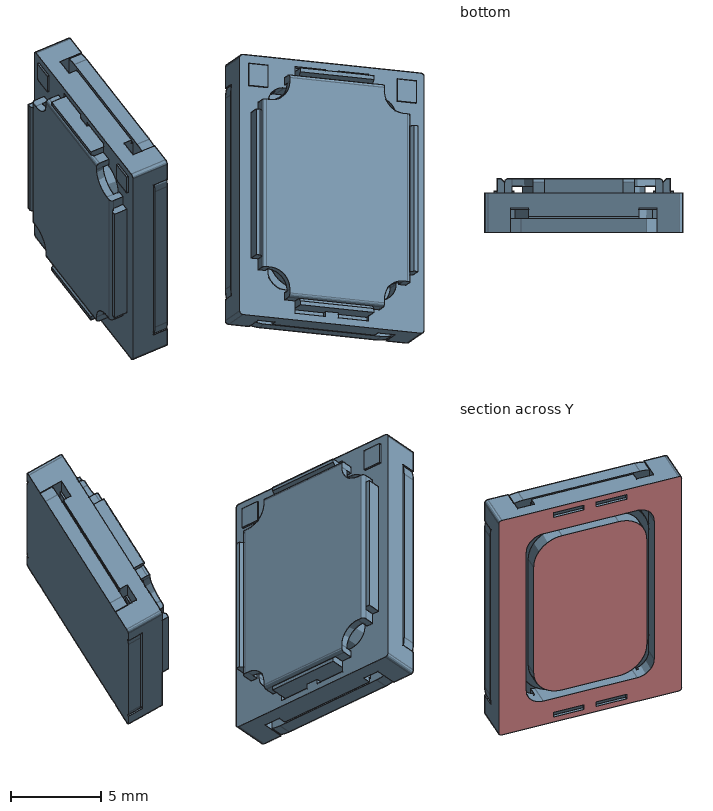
import cadquery as cq
import math


WIDTH = 11.0
HEIGHT = 15.0
DEPTH = 3.0
CORNER_RADIUS = 0.2
FRONT = -DEPTH / 2
BACK = DEPTH / 2
HOUSING_DEPTH = 2.2
FACE = BACK - HOUSING_DEPTH

COVER_DEPTH = 0.8
COVER_FRONT = BACK - COVER_DEPTH
COVER_TOP_HALF = 4.08
COVER_SIDE_HALF = 6.09
COVER_END_LENGTH = 0.58
COVER_END_RADIUS = 2.0
SEAM_WIDTH = 0.1
SEAM_DEPTH = 0.3

MAGNET_HALF_WIDTH = 3.4
MAGNET_HALF_HEIGHT = 5.4
AIR_GAP = 0.42
OPENING_HALF_WIDTH = MAGNET_HALF_WIDTH + AIR_GAP
OPENING_HALF_HEIGHT = MAGNET_HALF_HEIGHT + AIR_GAP
OPENING_RADIUS = 1.0
COIL_FRONT = 0.22
COIL_RADIUS = 2.13
MAGNET_RADIUS = COIL_RADIUS - AIR_GAP

WINDOW_WIDTH = 1.02
WINDOW_FRONT = 0.12

YOKE_HALF_WIDTH = 4.4
YOKE_HALF_HEIGHT = 6.4
YOKE_THICKNESS = 0.44
YOKE_BACK = FRONT + YOKE_THICKNESS
LEG_THICKNESS = 0.42
NOTCH_RADIUS = 1.15
NOTCH_X = YOKE_HALF_WIDTH - LEG_THICKNESS
NOTCH_Z = YOKE_HALF_HEIGHT - LEG_THICKNESS
YOKE_EDGE_RADIUS = 0.2

STRIP_WIDTH = 0.42
STRIP_CHAMFER = 0.2
TOP_STRIP_HALF = 2.19
SIDE_STRIP_HALF = 4.2
SLOT_HEIGHT = 0.28
SLOT_DEPTH = 0.3
SLOT_INNER_X = 0.38

PAD_WIDTH = 1.12
PAD_HEIGHT = 1.28
PAD_THICKNESS = 0.1
PAD_X = 4.42
PAD_Z = 6.36

SIGNS = (-1, 1)


def box(x0, x1, y0, y1, z0, z1):
    """Box between two limits on each axis."""
    return cq.Workplane("XY").box(x1 - x0, y1 - y0, z1 - z0, centered=False).translate((x0, y0, z0))


def centred_block(half_width, half_height, y0, y1):
    return box(-half_width, half_width, y0, y1, -half_height, half_height)


def rounded_block(half_width, half_height, radius, y0, y1):
    """Block centred in X and Z with its four corners rounded."""
    return centred_block(half_width, half_height, y0, y1).edges("|Y").fillet(radius)


def turned(shape, angle):
    """Shape made for the top edge, turned about the Y axis to another edge."""
    return shape.rotate((0, 0, 0), (0, 1, 0), angle)


def cover_end_relief(edge, half_span):
    """Waste outside the curved falling ends of one cover edge."""
    start = half_span - COVER_END_LENGTH
    centre = edge - COVER_END_RADIUS
    slope = math.asin(COVER_END_LENGTH / COVER_END_RADIUS)
    middle = (
        start + COVER_END_RADIUS * math.sin(slope / 2),
        centre + COVER_END_RADIUS * math.cos(slope / 2),
    )
    end = (half_span, centre + COVER_END_RADIUS * math.cos(slope))
    relief = (
        cq.Workplane("XZ", origin=(0, BACK, 0))
        .moveTo(start, edge)
        .threePointArc(middle, end)
        .lineTo(half_span, edge)
        .close()
        .extrude(COVER_DEPTH)
    )
    return relief.union(relief.mirror("YZ"))


def cover_edge(edge, half_span):
    """Waste along one edge: the seam in front of the cover and its end reliefs."""
    seam = box(-half_span, half_span, COVER_FRONT - SEAM_WIDTH, COVER_FRONT, edge - SEAM_DEPTH, edge)
    return seam.union(cover_end_relief(edge, half_span))


def coil():
    """Coil block; its middle is one with the magnet."""
    return rounded_block(OPENING_HALF_WIDTH, OPENING_HALF_HEIGHT, COIL_RADIUS, COIL_FRONT, COVER_FRONT)


def window(side):
    """Stepped opening at one end of the top edge, clear of the coil corner."""
    inner = COVER_TOP_HALF - WINDOW_WIDTH
    x0, x1 = sorted((side * inner, side * COVER_TOP_HALF))
    mouth = box(x0, x1, WINDOW_FRONT, COVER_FRONT, OPENING_HALF_HEIGHT, HEIGHT / 2)
    shaft = box(x0, x1, COIL_FRONT, COVER_FRONT, OPENING_HALF_HEIGHT - COIL_RADIUS, OPENING_HALF_HEIGHT)
    return mouth.union(shaft.cut(coil()))


def strip(edge, half_span):
    """Clamping strip outside one yoke edge, chamfered along its inner front edge."""
    blank = box(-half_span, half_span, FRONT, FACE, edge, edge + STRIP_WIDTH)
    return blank.edges("<Y and <Z").chamfer(STRIP_CHAMFER)


def housing():
    body = rounded_block(WIDTH / 2, HEIGHT / 2, CORNER_RADIUS, FACE, BACK)
    for angle in (0, 180):
        body = body.cut(turned(cover_edge(HEIGHT / 2, COVER_TOP_HALF), angle))
        body = body.cut(turned(cover_edge(WIDTH / 2, COVER_SIDE_HALF), angle + 90))
        for side in SIGNS:
            body = body.cut(turned(window(side), angle))
    return body


def air_gap():
    """Space around the magnet and, in the corners, around the coil behind it."""
    opening = rounded_block(OPENING_HALF_WIDTH, OPENING_HALF_HEIGHT, OPENING_RADIUS, FACE, COVER_FRONT)
    return opening.cut(magnet()).cut(coil())


def strip_slots():
    """Pairs of shallow slots in the housing face beyond the top and bottom strips."""
    z0 = YOKE_HALF_HEIGHT + STRIP_WIDTH
    slot = box(SLOT_INNER_X, TOP_STRIP_HALF, FACE, FACE + SLOT_DEPTH, z0, z0 + SLOT_HEIGHT)
    pair = slot.union(slot.mirror("YZ"))
    return pair.union(pair.mirror("XY"))


def yoke():
    tall = centred_block(NOTCH_X - NOTCH_RADIUS, YOKE_HALF_HEIGHT, FRONT, FACE)
    tall = tall.faces("<Y").edges("|X").fillet(YOKE_EDGE_RADIUS)
    wide = centred_block(YOKE_HALF_WIDTH, NOTCH_Z - NOTCH_RADIUS, FRONT, FACE)
    wide = wide.faces("<Y").edges("|Z").fillet(YOKE_EDGE_RADIUS)
    middle = centred_block(NOTCH_X, NOTCH_Z, FRONT, YOKE_BACK)
    hollow = centred_block(NOTCH_X, NOTCH_Z, YOKE_BACK, FACE)
    shell = tall.union(wide).union(middle).cut(hollow)
    for x_sign in SIGNS:
        for z_sign in SIGNS:
            round_notch = (
                cq.Workplane("XZ", origin=(x_sign * NOTCH_X, FACE, z_sign * NOTCH_Z))
                .circle(NOTCH_RADIUS)
                .extrude(FACE - FRONT)
            )
            shell = shell.cut(round_notch)
    return shell


def magnet():
    """Magnet block from the yoke plate back to the coil."""
    return rounded_block(MAGNET_HALF_WIDTH, MAGNET_HALF_HEIGHT, MAGNET_RADIUS, YOKE_BACK, COIL_FRONT)


def pad(side):
    return (
        cq.Workplane("XY")
        .box(PAD_WIDTH, PAD_THICKNESS, PAD_HEIGHT)
        .translate((side * PAD_X, FACE - PAD_THICKNESS / 2, PAD_Z))
    )


result = housing().cut(air_gap()).cut(strip_slots()).union(magnet()).union(yoke())
for angle in (0, 180):
    result = result.union(turned(strip(YOKE_HALF_HEIGHT, TOP_STRIP_HALF), angle))
    result = result.union(turned(strip(YOKE_HALF_WIDTH, SIDE_STRIP_HALF), angle + 90))
for side in SIGNS:
    result = result.union(pad(side))